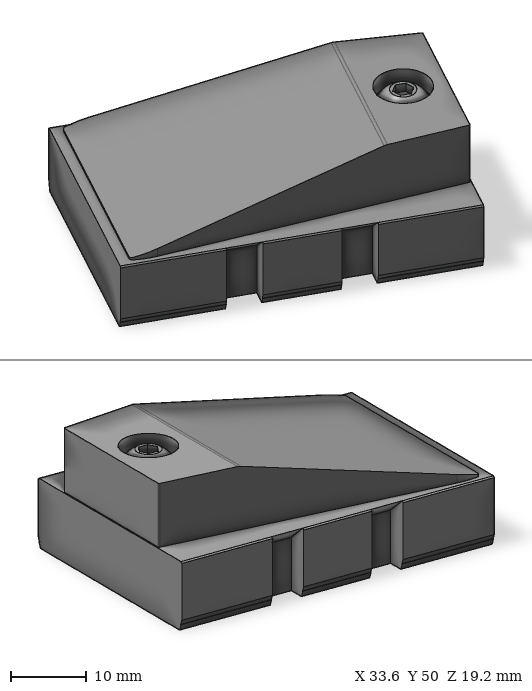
import cadquery as cq
import math

BASE_LENGTH = 50.0
BASE_WIDTH = 33.6
BASE_HEIGHT = 10.0
TOP_CHAMFER = 0.2
BEVEL_TOP = 1.6
STEP_HEIGHT = 0.9
STEP_WIDTH = 0.1
BEVEL_SLOPE = 0.4

SLOT_WIDTH = 5.0
SLOT_DEPTH = 2.9
SLOT_ROOF_DROP = 2.3
SLOT_CENTERS = (8.0, -7.9)

OVERALL_HEIGHT = 19.2
WEDGE_BACK = 24.8
WEDGE_FRONT = -23.4
WEDGE_BACK_HALF_WIDTH = 11.1
WEDGE_TANGENT_Y = -19.65
SIDE_TAPER = 6.1
SIDE_ARC_RADIUS = 12.5
FRONT_CORNER_RADIUS = 0.5
BACK_CORNER_RADIUS = 0.2
RAMP_START = 12.8
WEDGE_TIP_HEIGHT = 0.3
RAMP_BLEND_RADIUS = 2.0

SCREW_Y = 18.85
HEAD_DIAMETER = 7.6
HEAD_HEIGHT = 2.2
HEAD_FLAT_DIAMETER = 3.6
HEAD_RECESS = 0.5
POCKET_DIAMETER = 8.0
SHANK_DIAMETER = 4.0
SHANK_LENGTH = 12.0
HEX_ACROSS_FLATS = 2.5
HEX_DEPTH = 1.3

head_seat = OVERALL_HEIGHT - HEAD_RECESS - HEAD_HEIGHT
shank_end = head_seat - SHANK_LENGTH


def extrude_along_y(profile, length, center_y):
    """Extrude a closed XZ outline by length, centred on center_y."""
    workplane = cq.Workplane("XZ").polyline(profile).close()
    return workplane.extrude(length / 2, both=True).translate((0, center_y, 0))


def make_shank():
    """Cylinder used for the screw shank and for its matching holes."""
    shank = cq.Workplane("XY", origin=(0, SCREW_Y, shank_end))
    return shank.circle(SHANK_DIAMETER / 2).extrude(SHANK_LENGTH)


def make_slot(side, center_y):
    """Side slot whose sloped roof starts at the inner edge of the top chamfer."""
    outer = BASE_WIDTH / 2
    floor = outer - SLOT_DEPTH
    roof_edge = outer - TOP_CHAMFER
    roof_low = BASE_HEIGHT - SLOT_ROOF_DROP
    profile = [
        (side * floor, 0),
        (side * floor, roof_low),
        (side * roof_edge, BASE_HEIGHT),
        (side * outer, BASE_HEIGHT),
        (side * outer, 0),
    ]
    return extrude_along_y(profile, SLOT_WIDTH, center_y)


def make_base():
    """Block with chamfered top sides, stepped lower bevels and side slots."""
    outer = BASE_WIDTH / 2
    step_inner = outer - BEVEL_SLOPE * (BEVEL_TOP - STEP_HEIGHT)
    step_outer = step_inner + STEP_WIDTH
    right_side = [
        (step_outer - BEVEL_SLOPE * STEP_HEIGHT, 0),
        (step_outer, STEP_HEIGHT),
        (step_inner, STEP_HEIGHT),
        (outer, BEVEL_TOP),
        (outer, BASE_HEIGHT - TOP_CHAMFER),
        (outer - TOP_CHAMFER, BASE_HEIGHT),
    ]
    left_side = [(-x, z) for x, z in reversed(right_side)]
    base = extrude_along_y(right_side + left_side, BASE_LENGTH, 0)
    for side in (-1, 1):
        for center_y in SLOT_CENTERS:
            base = base.cut(make_slot(side, center_y))
    return base.cut(make_shank())


def make_wedge_plan():
    """Full-height tapered prism with rounded sides near the front."""
    taper = math.radians(SIDE_TAPER)
    straight_run = WEDGE_BACK - WEDGE_TANGENT_Y
    tangent_half = WEDGE_BACK_HALF_WIDTH + straight_run * math.tan(taper)
    arc_center_x = tangent_half - SIDE_ARC_RADIUS * math.cos(taper)
    arc_center_y = WEDGE_TANGENT_Y - SIDE_ARC_RADIUS * math.sin(taper)

    def arc_half_width(y):
        return arc_center_x + math.sqrt(SIDE_ARC_RADIUS**2 - (y - arc_center_y) ** 2)

    middle_y = (WEDGE_TANGENT_Y + WEDGE_FRONT) / 2
    middle_half = arc_half_width(middle_y)
    front_half = arc_half_width(WEDGE_FRONT)
    plan = (
        cq.Workplane("XY", origin=(0, 0, BASE_HEIGHT))
        .moveTo(-WEDGE_BACK_HALF_WIDTH, WEDGE_BACK)
        .lineTo(WEDGE_BACK_HALF_WIDTH, WEDGE_BACK)
        .lineTo(tangent_half, WEDGE_TANGENT_Y)
        .threePointArc((middle_half, middle_y), (front_half, WEDGE_FRONT))
        .lineTo(-front_half, WEDGE_FRONT)
        .threePointArc((-middle_half, middle_y), (-tangent_half, WEDGE_TANGENT_Y))
        .close()
        .extrude(OVERALL_HEIGHT - BASE_HEIGHT)
    )
    plan = plan.faces("<Y").edges("|Z").fillet(FRONT_CORNER_RADIUS)
    return plan.faces(">Y").edges("|Z").fillet(BACK_CORNER_RADIUS)


def make_ramp_envelope():
    """Side outline of the wedge, extruded across the base width."""
    outline = [
        (WEDGE_BACK, BASE_HEIGHT),
        (WEDGE_BACK, OVERALL_HEIGHT),
        (RAMP_START, OVERALL_HEIGHT),
        (WEDGE_FRONT, BASE_HEIGHT + WEDGE_TIP_HEIGHT),
        (WEDGE_FRONT, BASE_HEIGHT),
    ]
    envelope = cq.Workplane("YZ").polyline(outline).close().extrude(BASE_WIDTH / 2, both=True)
    ramp_edge = envelope.faces(">Z").edges("<Y")
    return ramp_edge.fillet(RAMP_BLEND_RADIUS)


def make_wedge():
    """Tapered ramp with the counterbored screw hole."""
    pocket = (
        cq.Workplane("XY", origin=(0, SCREW_Y, head_seat))
        .circle(POCKET_DIAMETER / 2)
        .extrude(OVERALL_HEIGHT - head_seat)
    )
    return make_wedge_plan().intersect(make_ramp_envelope()).cut(pocket).cut(make_shank())


def make_screw():
    """Domed button-head screw with a hexagon socket."""
    head_radius = HEAD_DIAMETER / 2
    flat_radius = HEAD_FLAT_DIAMETER / 2
    center_z = (flat_radius**2 + HEAD_HEIGHT**2 - head_radius**2) / (2 * HEAD_HEIGHT)
    dome_radius = math.hypot(head_radius, center_z)
    middle_x = (head_radius + flat_radius) / 2
    middle_z = center_z + math.sqrt(dome_radius**2 - middle_x**2)
    head = (
        cq.Workplane("XZ")
        .lineTo(head_radius, 0)
        .threePointArc((middle_x, middle_z), (flat_radius, HEAD_HEIGHT))
        .lineTo(0, HEAD_HEIGHT)
        .close()
        .revolve(360, (0, 0), (0, 1))
    )
    hex_diameter = HEX_ACROSS_FLATS / math.cos(math.pi / 6)
    socket = (
        cq.Workplane("XY", origin=(0, 0, HEAD_HEIGHT - HEX_DEPTH))
        .polygon(6, hex_diameter)
        .extrude(HEX_DEPTH)
        .rotate((0, 0, 0), (0, 0, 1), 90)
    )
    return head.cut(socket).translate((0, SCREW_Y, head_seat)).union(make_shank())


base = make_base()
wedge = make_wedge()
screw = make_screw()
result = cq.Compound.makeCompound([base.val(), wedge.val(), screw.val()])